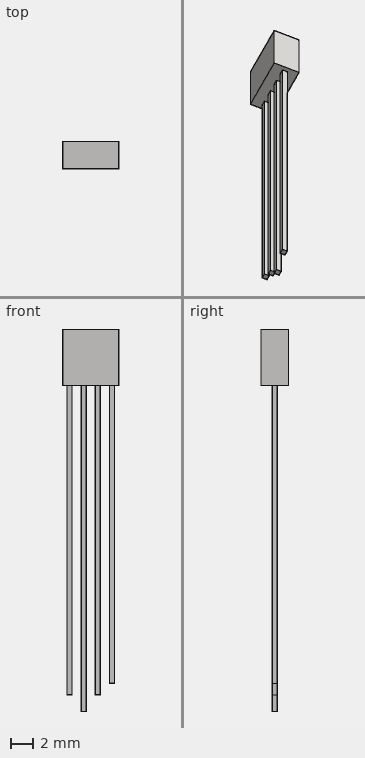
import cadquery as cq

total_height = 34.0
body_width = 5.0
body_depth = 2.45
body_height = 5.0

lead_width = 0.48
lead_pitch = 1.25
longest_lead = total_height - body_height
lead_lengths = [27.5, longest_lead, 27.5, 26.5]


def make_body():
    """Rectangular package standing on the plane Z = 0, where the leads begin."""
    return cq.Workplane("XY").box(body_width, body_depth, body_height, centered=(True, True, False))


def make_lead(x, length):
    """Square lead hanging straight down from the underside of the body."""
    return cq.Workplane("XY").center(x, 0).rect(lead_width, lead_width).extrude(-length)


body = make_body()

first_lead_x = -lead_pitch * (len(lead_lengths) - 1) / 2
leads = []
for index, length in enumerate(lead_lengths):
    lead = make_lead(first_lead_x + index * lead_pitch, length)
    leads.append(lead.val())

result = cq.Compound.makeCompound([body.val(), *leads])